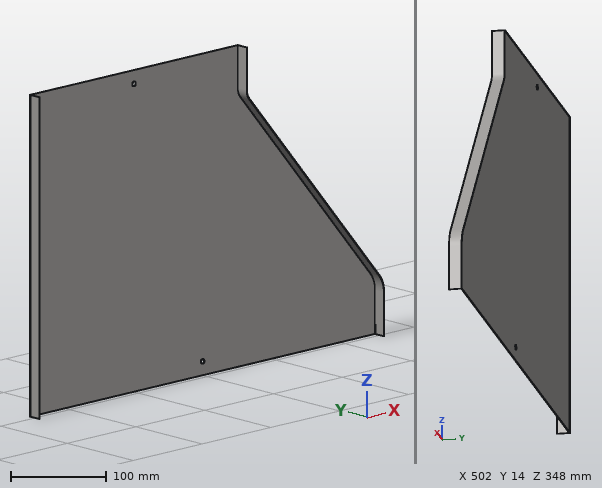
import cadquery as cq
import math

overall_width = 502.0
height = 348.0
flange_depth = 14.0
sheet = 0.75
tab_length = 0.2
tab_height = 10.0

bottom_width = overall_width - tab_length
top_width = 302.4

upper_corner_z = height - 52.0
lower_corner_z = 59.0
upper_bend_radius = 15.0
lower_bend_radius = 30.0

hole_diameter = 5.0
hole_edge_distance = 15.0

slope_angle = math.atan2(bottom_width - top_width, upper_corner_z - lower_corner_z)


def panel_solid(inset, depth):
    """Panel outline with its side edges moved inwards by inset, extruded towards -Y."""
    left_x = inset
    top_x = top_width - inset
    bottom_x = bottom_width - inset
    corner_drop = inset * math.tan(slope_angle / 2)
    upper_z = upper_corner_z - corner_drop
    lower_z = lower_corner_z - corner_drop
    panel = (
        cq.Workplane("XZ")
        .moveTo(left_x, 0)
        .lineTo(bottom_x, 0)
        .lineTo(bottom_x, lower_z)
        .lineTo(top_x, upper_z)
        .lineTo(top_x, height)
        .lineTo(left_x, height)
        .close()
        .extrude(depth)
    )
    upper_edge = cq.selectors.NearestToPointSelector((top_x, -depth / 2, upper_z))
    lower_edge = cq.selectors.NearestToPointSelector((bottom_x, -depth / 2, lower_z))
    panel = panel.edges(upper_edge).fillet(upper_bend_radius + inset)
    return panel.edges(lower_edge).fillet(lower_bend_radius - inset)


def flanged_panel():
    """Flat sheet with a flange along each side, open at the front, top and bottom."""
    interior = panel_solid(sheet, flange_depth - sheet).translate((0, -sheet, 0))
    return panel_solid(0, flange_depth).cut(interior)


def corner_tab():
    """Short strip of the sheet standing out past the flange at the lower right corner."""
    tab = cq.Workplane("XY").box(tab_length, sheet, tab_height, centered=False)
    return tab.translate((bottom_width, -sheet, 0))


def mounting_hole(x, z):
    """Cutter through the sheet at the given place."""
    return cq.Workplane("XZ").center(x, z).circle(hole_diameter / 2).extrude(sheet)


result = flanged_panel().union(corner_tab())
result = result.cut(mounting_hole(top_width / 2, height - hole_edge_distance))
result = result.cut(mounting_hole(bottom_width / 2, hole_edge_distance))